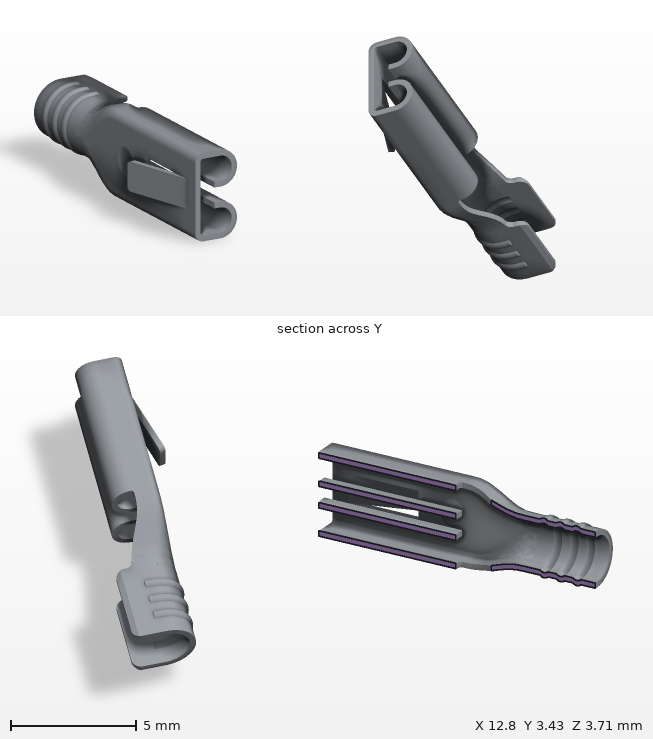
import cadquery as cq
import math


total_length = 12.83
sheet = 0.25
crimp_length = 3.28
box_start = 6.45

crimp_half_width = 1.23
crimp_height = 2.57
flap_corner = 0.38
flap_bevel_height = 0.23
flap_bevel_depth = 0.12

bead_count = 3
first_bead = 0.87
bead_pitch = 0.76
bead_width = 0.37
bead_rise = 0.08
bead_end = 1.55
bead_end_round = 0.06
bead_radius = ((bead_width / 2) ** 2 + bead_rise**2) / (2 * bead_rise)

flare_start = 3.46
flare_end = 6.16
neck_stations = 10
neck_first_flat = 0.006
neck_first_bend = crimp_half_width - neck_first_flat
neck_root = (crimp_length, 2.1)
neck_root_middle = (3.35, 1.91)
neck_edge = [(3.49, 1.81), (4.15, 1.64), (4.72, 1.41), (5.4, 1.14), (5.79, 1.06), (6.29, 1.04)]
neck_step_middle = (6.39, 1.05)
neck_step_height = 1.1

box_half_width = 3.71 / 2
box_bend = 0.37
curl_radius = 0.77
curl_centre_y = 1.15
curl_centre_z = box_half_width - curl_radius
lip_end = 0.89

dimple_x = 7.27
dimple_radius = 0.6
dimple_depth = 0.12
dimple_rim = 0.04
dimple_sphere = (dimple_radius**2 + dimple_depth**2) / (2 * dimple_depth)

tongue_root = 12.07
tongue_slot_start = 8.85
tongue_half_width = 0.63
tongue_drop = 0.86
tongue_angle = math.radians(15.2)
tongue_corner = 0.19


def channel_section(x, half_width, bend, top, inset=0.0):
    """Closed U outline at station x, moved inward by inset from the outer skin."""
    side = half_width - inset
    radius = bend - inset
    flat = half_width - bend
    diagonal = radius * math.sqrt(0.5)
    outline = (
        cq.Workplane("YZ", origin=(x, 0, 0))
        .moveTo(top, side)
        .lineTo(bend, side)
        .threePointArc((bend - diagonal, flat + diagonal), (inset, flat))
    )
    if flat > 0:
        outline = outline.lineTo(inset, -flat)
    return (
        outline
        .threePointArc((bend - diagonal, -flat - diagonal), (bend, -side))
        .lineTo(top, -side)
        .close()
    )


def block(x_range, y_range, z_range):
    """Axis-aligned block between the given limits."""
    ranges = (x_range, y_range, z_range)
    sizes = [high - low for low, high in ranges]
    corner = tuple(low for low, high in ranges)
    return cq.Workplane("XY").box(*sizes, centered=False).translate(corner)


def bead_tube(x, skin_radius):
    """Round tube that follows the crimp bend and crests bead_rise beyond skin_radius."""
    path_radius = skin_radius + bead_rise - bead_radius
    ring = (
        cq.Workplane("XY")
        .center(x, crimp_half_width - path_radius)
        .circle(bead_radius)
        .revolve(360, (0, path_radius), (1, path_radius))
    )
    reach = 2 * crimp_half_width
    lower_half = block((0, crimp_length), (-reach, crimp_half_width), (-reach, reach))
    tube = ring.intersect(lower_half)
    for side in (-1, 1):
        leg = (
            cq.Workplane("XZ", origin=(x, crimp_half_width, side * path_radius))
            .circle(bead_radius)
            .extrude(crimp_half_width - bead_end)
            .faces(">Y")
            .edges()
            .fillet(bead_end_round)
        )
        tube = tube.union(leg)
    return tube


def make_crimp():
    """Wire crimp with bevelled, round-cornered flaps and stamped grip beads."""
    outer = channel_section(0, crimp_half_width, crimp_half_width, crimp_height).extrude(crimp_length)
    outer = outer.faces(">Y").edges("|X").chamfer(flap_bevel_height, flap_bevel_depth)
    blank = (
        block((0, crimp_length), (-crimp_height, crimp_height), (-crimp_height, crimp_height))
        .edges("|Z and >Y")
        .fillet(flap_corner)
    )
    body = outer.intersect(blank)
    centres = [first_bead + i * bead_pitch for i in range(bead_count)]
    for x in centres:
        body = body.union(bead_tube(x, crimp_half_width))
    cavity = channel_section(0, crimp_half_width, crimp_half_width, crimp_height, sheet)
    body = body.cut(cavity.extrude(crimp_length))
    for x in centres:
        body = body.cut(bead_tube(x, crimp_half_width - sheet))
    return body


def neck_loft(inset):
    """Channel that flares smoothly from the crimp section to the receptacle section."""
    sections = []
    for i in range(neck_stations + 1):
        x = crimp_length + (box_start - crimp_length) * i / neck_stations
        u = min(max((x - flare_start) / (flare_end - flare_start), 0), 1)
        blend = u * u * (3 - 2 * u)
        half_width = crimp_half_width + (box_half_width - crimp_half_width) * blend
        bend = neck_first_bend + (box_bend - neck_first_bend) * blend
        sections.append(channel_section(x, half_width, bend, crimp_height, inset).val())
    return cq.Workplane(cq.Solid.makeLoft(sections))


def make_neck():
    """Flaring channel whose side walls are trimmed to the sloping upper edge."""
    side_profile = (
        cq.Workplane("XY")
        .moveTo(crimp_length, 0)
        .lineTo(*neck_root)
        .threePointArc(neck_root_middle, neck_edge[0])
        .spline(neck_edge[1:], includeCurrent=True)
        .threePointArc(neck_step_middle, (box_start, neck_step_height))
        .lineTo(box_start, 0)
        .close()
        .extrude(box_half_width, both=True)
    )
    return neck_loft(0).cut(neck_loft(sheet)).intersect(side_profile)


def make_curl(side):
    """Rolled upper edge of one receptacle wall, ending in a straight lip."""
    inner_radius = curl_radius - sheet
    outer_wall = side * box_half_width
    inner_wall = side * (box_half_width - sheet)
    outer_lip = side * (curl_centre_z - curl_radius)
    inner_lip = side * (curl_centre_z - inner_radius)
    crest = side * curl_centre_z
    return (
        cq.Workplane("YZ", origin=(box_start, 0, 0))
        .moveTo(curl_centre_y, outer_wall)
        .threePointArc((curl_centre_y + curl_radius, crest), (curl_centre_y, outer_lip))
        .lineTo(lip_end, outer_lip)
        .lineTo(lip_end, inner_lip)
        .lineTo(curl_centre_y, inner_lip)
        .threePointArc((curl_centre_y + inner_radius, crest), (curl_centre_y, inner_wall))
        .close()
        .extrude(total_length - box_start)
    )


def dimple_cap(skin_y):
    """Ball whose cap rises dimple_depth above the plane Y = skin_y."""
    centre_y = skin_y + dimple_depth - dimple_sphere
    return cq.Workplane("XY").sphere(dimple_sphere).translate((dimple_x, centre_y, 0))


def make_tongue():
    """Sprung tongue bent out of the floor, with rounded corners at its free end."""
    run = tongue_drop / math.tan(tongue_angle)
    outer_tip = (tongue_root - run, -tongue_drop)
    inner_tip = (
        outer_tip[0] - sheet * math.sin(tongue_angle),
        outer_tip[1] + sheet * math.cos(tongue_angle),
    )
    inner_root = (tongue_root + sheet * math.tan(tongue_angle / 2), sheet)
    return (
        cq.Workplane("XY")
        .polyline([(tongue_root, 0), outer_tip, inner_tip, inner_root])
        .close()
        .extrude(tongue_half_width, both=True)
        .faces("<X")
        .edges("not |Z")
        .fillet(tongue_corner)
    )


def make_receptacle():
    """Rolled receptacle with its floor dimple, tongue slot and tongue."""
    length = total_length - box_start
    outer = channel_section(box_start, box_half_width, box_bend, curl_centre_y).extrude(length)
    inner = channel_section(box_start, box_half_width, box_bend, curl_centre_y, sheet).extrude(length)
    body = outer.cut(inner)
    for side in (-1, 1):
        body = body.union(make_curl(side))
    above_floor = block(
        (box_start, tongue_slot_start),
        (sheet / 2, crimp_height),
        (-box_half_width, box_half_width),
    )
    body = body.union(dimple_cap(sheet).intersect(above_floor))
    body = body.cut(dimple_cap(0))
    rim = cq.selectors.BoxSelector(
        (dimple_x - dimple_rim, -dimple_rim, -dimple_rim),
        (dimple_x + dimple_rim, dimple_rim, dimple_rim),
    )
    body = body.edges(rim).fillet(dimple_rim)
    slot = block((tongue_slot_start, tongue_root), (0, sheet), (-tongue_half_width, tongue_half_width))
    return body.cut(slot).union(make_tongue())


result = make_crimp().union(make_neck()).union(make_receptacle())